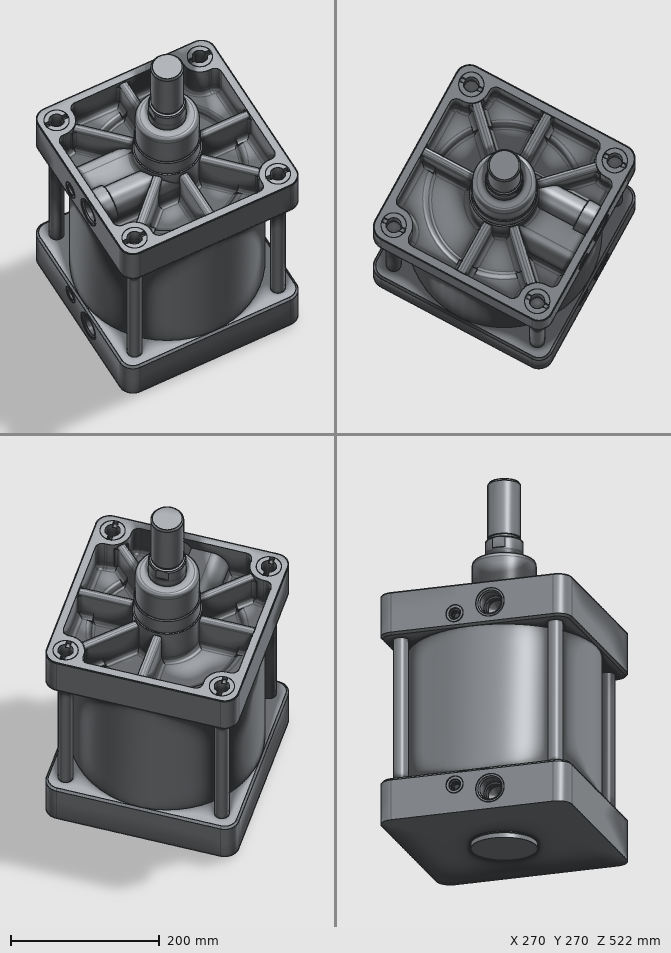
import cadquery as cq
import math

PLATE_SIDE = 270.0
PLATE_HEIGHT = 60.0
PLATE_CORNER_RADIUS = 20.0
PLATE_CHAMFER = 3.0
RIM_CHAMFER = 1.0

COLLAR_DIAMETER = 90.0
FLANGE_DIAMETER = 94.0
FLANGE_HEIGHT = 1.5
CAP_COLLAR_HEIGHT = 8.5
HEAD_COLLAR_HEIGHT = 27.0
COLLAR_CHAMFER = 1.5

BARREL_DIAMETER = 263.0
BARREL_LENGTH = 205.0

GLAND_DIAMETER = 86.0
GLAND_HEIGHT = 49.0
GLAND_ROUNDING = 6.5

OVERALL_HEIGHT = 522.0
ROD_DIAMETER = 51.0
WRENCH_DIAMETER = 50.5
WRENCH_BOTTOM_Z = 420.5
WRENCH_CHAMFER = 1.0
ROD_SHOULDER_Z = 438.5
SHOULDER_CHAMFER = 1.5
NECK_DIAMETER = 40.0
NECK_LENGTH = 4.5
STUD_DIAMETER = 44.5
STUD_CHAMFER = 3.0
STUD_CHAMFER_WIDTH = 2.0
FLATS_WIDTH = 47.5
FLATS_BOTTOM_Z = 423.0

TIE_OFFSET = 109.5
TIE_DIAMETER = 20.5
NUT_DIAMETER = 34.0
NUT_HEIGHT = 31.5
NUT_BORE_DEPTH = 26.0
NUT_SLOT_WIDTH = 6.5
NUT_SLOT_DEPTH = 6.5

RECESS_SIDE = 246.5
RECESS_CORNER_RADIUS = 10.0
RECESS_FLOOR_RADIUS = 8.5
FLOOR_THICKNESS = 13.5
CORNER_BOSS_RADIUS = 25.5
DISH_OUTER_RADIUS = 109.5
DISH_EDGE_RADIUS = 102.0
DISH_INNER_RADIUS = 97.5
DISH_DEPTH = 7.0
FOOT_RADIUS = 7.5
RIB_WIDTH = 12.5
RIB_DROP = 3.5
RIB_ROUNDING = 4.0
RIB_END_RADIUS = 4.0
RIB_ANGLES = (0, 45, 90, 180, 225, 315)

PORT_X = 25.0
PORT_FROM_BARREL = 30.5
PORT_SPOTFACE_DIAMETER = 40.0
PORT_SPOTFACE_DEPTH = 1.0
PORT_COUNTERSINK_DIAMETER = 34.5
PORT_THREAD_DIAMETER = 30.5
PORT_THREAD_DEPTH = 21.0
PORT_BORE_DIAMETER = 25.0
PORT_BORE_DEPTH = 31.5
DRILL_TIP_ANGLE = 118.0
SCREW_X = -25.0
SCREW_FROM_BARREL = 20.0
SCREW_STEPS = ((24.0, 1.0), (16.0, 4.0), (12.0, 7.5), (9.0, 12.5))

PORT_HOUSING_RADIUS = 23.0
PORT_HOUSING_COLLAR_RADIUS = 26.0
PORT_HOUSING_COLLAR_LENGTH = 20.0
SCREW_HOUSING_RADIUS = 24.5
HOUSING_FOOT_RADIUS = 4.5

CAP_BOTTOM = CAP_COLLAR_HEIGHT
CAP_TOP = CAP_BOTTOM + PLATE_HEIGHT
HEAD_BOTTOM = CAP_TOP + BARREL_LENGTH
HEAD_TOP = HEAD_BOTTOM + PLATE_HEIGHT
COLLAR_TOP = HEAD_TOP + HEAD_COLLAR_HEIGHT
FLOOR_Z = HEAD_BOTTOM + FLOOR_THICKNESS
DISH_Z = FLOOR_Z - DISH_DEPTH
RIB_TOP = HEAD_TOP - RIB_DROP
FRONT_Y = -PLATE_SIDE / 2
HEAD_PORT_Z = HEAD_BOTTOM + PORT_FROM_BARREL
HEAD_SCREW_Z = HEAD_BOTTOM + SCREW_FROM_BARREL
CAP_PORT_Z = CAP_TOP - PORT_FROM_BARREL
CAP_SCREW_Z = CAP_TOP - SCREW_FROM_BARREL
HOUSING_TOP = HEAD_SCREW_Z + SCREW_HOUSING_RADIUS
CORNERS = [(-1, -1), (-1, 1), (1, -1), (1, 1)]
TIE_CENTRES = [(sx * TIE_OFFSET, sy * TIE_OFFSET) for sx, sy in CORNERS]
SIN_45 = math.sin(math.radians(45))


def cylinder(diameter, bottom, top):
    return cq.Workplane("XY").workplane(offset=bottom).circle(diameter / 2).extrude(top - bottom)


def end_plate(bottom):
    """Square plate with rounded corners."""
    plate = cq.Workplane("XY").workplane(offset=bottom).rect(PLATE_SIDE, PLATE_SIDE).extrude(PLATE_HEIGHT)
    return plate.edges("|Z").fillet(PLATE_CORNER_RADIUS)


def front_bore(x, z, profile):
    """Round cutter entering the -Y face; profile lists (radius, depth) from the axis and back to it."""
    bore = cq.Workplane("XY").polyline(profile).close().revolve(360, (0, 0, 0), (0, 1, 0))
    return bore.translate((x, FRONT_Y, z))


def port_cutter(z):
    spotface = PORT_SPOTFACE_DIAMETER / 2
    countersink = PORT_COUNTERSINK_DIAMETER / 2
    thread = PORT_THREAD_DIAMETER / 2
    bore = PORT_BORE_DIAMETER / 2
    tip = bore / math.tan(math.radians(DRILL_TIP_ANGLE / 2))
    profile = [
        (0, 0),
        (spotface, 0),
        (spotface, PORT_SPOTFACE_DEPTH),
        (countersink, PORT_SPOTFACE_DEPTH),
        (thread, PORT_SPOTFACE_DEPTH + countersink - thread),
        (thread, PORT_THREAD_DEPTH),
        (bore, PORT_THREAD_DEPTH),
        (bore, PORT_BORE_DEPTH),
        (0, PORT_BORE_DEPTH + tip),
    ]
    return front_bore(PORT_X, z, profile)


def screw_cutter(z):
    """Stepped recess showing the sunk end of the cushion screw."""
    profile = [(0, 0)]
    start = 0
    for diameter, depth in SCREW_STEPS:
        profile += [(diameter / 2, start), (diameter / 2, depth)]
        start = depth
    profile.append((0, start))
    return front_bore(SCREW_X, z, profile)


def tie_rod(x, y):
    """Rod from the cap to a nut that lies flush with the head's top; the nut has a bore and a slot."""
    nut_bottom = HEAD_TOP - NUT_HEIGHT
    rod = cylinder(TIE_DIAMETER, CAP_TOP, nut_bottom)
    nut = cylinder(NUT_DIAMETER, nut_bottom, HEAD_TOP)
    bore = cylinder(TIE_DIAMETER, HEAD_TOP - NUT_BORE_DEPTH, HEAD_TOP)
    slot = cq.Workplane("XY").workplane(offset=HEAD_TOP).rect(NUT_SLOT_WIDTH, NUT_DIAMETER)
    nut = nut.cut(bore).cut(slot.extrude(-NUT_SLOT_DEPTH))
    return rod.union(nut).translate((x, y, 0))


def make_cap():
    cap = end_plate(CAP_BOTTOM).faces(">Z").edges().chamfer(PLATE_CHAMFER)
    cap = cap.union(cylinder(FLANGE_DIAMETER, CAP_BOTTOM - FLANGE_HEIGHT, CAP_BOTTOM))
    cap = cap.union(cylinder(COLLAR_DIAMETER, 0, CAP_BOTTOM))
    cap = cap.cut(port_cutter(CAP_PORT_Z)).cut(screw_cutter(CAP_SCREW_Z))
    for x, y in TIE_CENTRES:
        cap = cap.union(tie_rod(x, y))
    return cap


def recess_prism():
    """Square recess with a quarter-round boss left standing in each corner."""
    recess = cq.Workplane("XY").workplane(offset=FLOOR_Z).rect(RECESS_SIDE, RECESS_SIDE)
    recess = recess.extrude(HEAD_TOP - FLOOR_Z)
    plate_edge = PLATE_SIDE / 2
    boss_reach = plate_edge - TIE_OFFSET + CORNER_BOSS_RADIUS
    boss = cq.Workplane("XY").workplane(offset=HEAD_BOTTOM).rect(2 * boss_reach, 2 * boss_reach)
    boss = boss.extrude(PLATE_HEIGHT).edges("|Z").fillet(CORNER_BOSS_RADIUS)
    for sx, sy in CORNERS:
        recess = recess.cut(boss.translate((sx * plate_edge, sy * plate_edge, 0)))
    wall = RECESS_SIDE / 2
    boss_start = plate_edge - boss_reach
    middle_z = (FLOOR_Z + HEAD_TOP) / 2
    for sx, sy in CORNERS:
        for x, y in ((boss_start, wall), (wall, boss_start)):
            corner = cq.selectors.NearestToPointSelector((sx * x, sy * y, middle_z))
            recess = recess.edges("|Z").edges(corner).fillet(RECESS_CORNER_RADIUS)
    return recess


def sector(corners):
    """Prism through the whole head over a plan outline."""
    return cq.Workplane("XY").workplane(offset=HEAD_BOTTOM).polyline(corners).close().extrude(PLATE_HEIGHT)


def front_sector():
    """Quarter of the head between the two diagonals on the -Y side, where the floor is not dished."""
    return sector([(0, 0), (FRONT_Y, FRONT_Y), (-FRONT_Y, FRONT_Y)])


def dish():
    """Shallow round depression in the recess floor, with an S-shaped edge of two tangent arcs."""
    rise = DISH_DEPTH * (DISH_EDGE_RADIUS - DISH_INNER_RADIUS) / (DISH_OUTER_RADIUS - DISH_INNER_RADIUS)
    profile = (
        cq.Workplane("XZ")
        .moveTo(0, DISH_Z)
        .lineTo(DISH_INNER_RADIUS, DISH_Z)
        .tangentArcPoint((DISH_EDGE_RADIUS, DISH_Z + rise), relative=False)
        .tangentArcPoint((DISH_OUTER_RADIUS, FLOOR_Z), relative=False)
        .lineTo(0, FLOOR_Z)
        .close()
    )
    return profile.revolve(360, (0, 0, 0), (0, 1, 0)).cut(front_sector())


def foot(plane, left, right, floor, length):
    """Wall from the floor up to the foot's top, flaring out to both sides at the floor."""
    bend = FOOT_RADIUS * (1 - SIN_45)
    section = (
        cq.Workplane(plane)
        .moveTo(left - FOOT_RADIUS, HEAD_BOTTOM)
        .lineTo(left - FOOT_RADIUS, floor)
        .threePointArc((left - bend, floor + bend), (left, floor + FOOT_RADIUS))
        .lineTo(right, floor + FOOT_RADIUS)
        .threePointArc((right + bend, floor + bend), (right + FOOT_RADIUS, floor))
        .lineTo(right + FOOT_RADIUS, HEAD_BOTTOM)
        .close()
    )
    return section.extrude(length)


def stepped_foot(plane, left, right, length, angle=0):
    """Foot, turned about Z, that follows the floor: low inside the dish, higher outside it."""
    dished = cylinder(2 * DISH_EDGE_RADIUS, HEAD_BOTTOM, HEAD_TOP).cut(front_sector())
    inside = foot(plane, left, right, DISH_Z, length).rotate((0, 0, 0), (0, 0, 1), angle)
    outside = foot(plane, left, right, FLOOR_Z, length).rotate((0, 0, 0), (0, 0, 1), angle)
    return inside.union(outside.cut(dished))


def rib(angle):
    """Radial rib with a rounded top, a flared foot and a flared end at the recess wall."""
    half = RIB_WIDTH / 2
    reach = RECESS_SIDE / 2
    if angle % 90:
        reach = TIE_OFFSET / SIN_45 - CORNER_BOSS_RADIUS
    length = reach + RIB_END_RADIUS
    start = reach - RIB_END_RADIUS
    bend = RIB_END_RADIUS * (1 - SIN_45)
    web = cq.Workplane("XY").box(length, RIB_WIDTH, RIB_TOP - HEAD_BOTTOM, centered=(False, True, False))
    web = web.faces(">Z").edges("|X").fillet(RIB_ROUNDING).translate((0, 0, HEAD_BOTTOM))
    end = (
        cq.Workplane("XY")
        .workplane(offset=HEAD_BOTTOM)
        .moveTo(start, -half)
        .threePointArc((reach - bend, -half - bend), (reach, -half - RIB_END_RADIUS))
        .lineTo(length, -half - RIB_END_RADIUS)
        .lineTo(length, half + RIB_END_RADIUS)
        .lineTo(reach, half + RIB_END_RADIUS)
        .threePointArc((reach - bend, half + bend), (start, half))
        .close()
        .extrude(RIB_TOP - RIB_ROUNDING - HEAD_BOTTOM)
    )
    body = web.union(end).rotate((0, 0, 0), (0, 0, 1), angle)
    return body.union(stepped_foot("YZ", -half, half, length, angle))


def collar_foot(radius, bottom):
    """Solid disc whose side flares out from the collar's flange diameter towards the bottom."""
    flange = FLANGE_DIAMETER / 2
    bend = radius * (1 - SIN_45)
    profile = (
        cq.Workplane("XZ")
        .moveTo(0, bottom)
        .lineTo(flange + radius, bottom)
        .threePointArc((flange + bend, bottom + bend), (flange, bottom + radius))
        .lineTo(0, bottom + radius)
        .close()
    )
    return profile.revolve(360, (0, 0, 0), (0, 1, 0))


def collar():
    """Round boss through the recess with a flared foot, a flange step and a chamfered top."""
    spigot = cylinder(COLLAR_DIAMETER, HEAD_BOTTOM, COLLAR_TOP).faces(">Z").edges().chamfer(COLLAR_CHAMFER)
    boss = cylinder(FLANGE_DIAMETER, HEAD_BOTTOM, HEAD_TOP + FLANGE_HEIGHT)
    return spigot.union(boss).union(collar_foot(FOOT_RADIUS, DISH_Z))


def port_housing():
    """Raised block from the collar to the -Y wall, rounded over the screw and over the port."""
    left = SCREW_X - SCREW_HOUSING_RADIUS
    right = PORT_X + PORT_HOUSING_RADIUS
    length = -FRONT_Y
    arc = SCREW_HOUSING_RADIUS * SIN_45
    block = (
        cq.Workplane("XZ")
        .moveTo(left, HEAD_BOTTOM)
        .lineTo(left, HEAD_SCREW_Z)
        .threePointArc((SCREW_X - arc, HEAD_SCREW_Z + arc), (SCREW_X, HOUSING_TOP))
        .lineTo(PORT_X, HOUSING_TOP)
        .lineTo(PORT_X, HEAD_PORT_Z)
        .lineTo(right, HEAD_PORT_Z)
        .lineTo(right, HEAD_BOTTOM)
        .close()
        .extrude(length)
    )
    tube = cq.Workplane("XZ").center(PORT_X, HEAD_PORT_Z).circle(PORT_HOUSING_RADIUS).extrude(length)
    end_collar = (
        cq.Workplane("XZ", origin=(0, -RECESS_SIDE / 2, 0))
        .center(PORT_X, HEAD_PORT_Z)
        .circle(PORT_HOUSING_COLLAR_RADIUS)
        .extrude(-PORT_HOUSING_COLLAR_LENGTH)
    )
    housing = block.union(tube).union(end_collar).union(stepped_foot("XZ", left, right, length))
    beyond_rib = sector([(0, 0), (-length, -length), (-length, 0)])
    flat = cq.Workplane("XY").workplane(offset=HOUSING_TOP).center((SCREW_X + PORT_X) / 2, -length / 2)
    flat = flat.rect(PORT_X - SCREW_X, length).extrude(HOUSING_FOOT_RADIUS)
    top_fillet = collar_foot(HOUSING_FOOT_RADIUS, HOUSING_TOP).intersect(flat)
    return housing.cut(beyond_rib).union(top_fillet)


def make_head():
    plate = end_plate(HEAD_BOTTOM)
    plate = plate.faces("<Z").edges().chamfer(PLATE_CHAMFER)
    plate = plate.faces(">Z").edges().chamfer(RIM_CHAMFER)
    recess = recess_prism()
    cavity = recess.faces("<Z").edges().fillet(RECESS_FLOOR_RADIUS).union(dish())
    inside = port_housing()
    for angle in RIB_ANGLES:
        inside = inside.union(rib(angle))
    head = plate.cut(cavity).union(inside.intersect(recess.union(dish()))).union(collar())
    for x, y in TIE_CENTRES:
        head = head.cut(cylinder(TIE_DIAMETER, HEAD_BOTTOM, HEAD_TOP).translate((x, y, 0)))
        head = head.cut(cylinder(NUT_DIAMETER, HEAD_TOP - NUT_HEIGHT, HEAD_TOP).translate((x, y, 0)))
    head = head.cut(cylinder(ROD_DIAMETER, HEAD_BOTTOM, COLLAR_TOP))
    return head.cut(port_cutter(HEAD_PORT_Z)).cut(screw_cutter(HEAD_SCREW_Z))


def make_barrel():
    return cylinder(BARREL_DIAMETER, CAP_TOP, HEAD_BOTTOM)


def make_gland():
    """Bearing sleeve that stands on the head's collar."""
    gland = cylinder(GLAND_DIAMETER, COLLAR_TOP, COLLAR_TOP + GLAND_HEIGHT)
    gland = gland.faces(">Z").edges().fillet(GLAND_ROUNDING)
    return gland.cut(cylinder(ROD_DIAMETER, COLLAR_TOP, COLLAR_TOP + GLAND_HEIGHT))


def make_rod():
    """Rod with a slightly reduced section for two wrench flats, an undercut neck and a stud end."""
    rod_radius = ROD_DIAMETER / 2
    wrench_radius = WRENCH_DIAMETER / 2
    stud_radius = STUD_DIAMETER / 2
    profile = [
        (0, HEAD_BOTTOM),
        (rod_radius, HEAD_BOTTOM),
        (rod_radius, WRENCH_BOTTOM_Z - WRENCH_CHAMFER),
        (wrench_radius, WRENCH_BOTTOM_Z),
        (wrench_radius, ROD_SHOULDER_Z - SHOULDER_CHAMFER),
        (wrench_radius - SHOULDER_CHAMFER, ROD_SHOULDER_Z),
        (NECK_DIAMETER / 2, ROD_SHOULDER_Z),
        (NECK_DIAMETER / 2, ROD_SHOULDER_Z + NECK_LENGTH),
        (stud_radius, ROD_SHOULDER_Z + NECK_LENGTH),
        (stud_radius, OVERALL_HEIGHT - STUD_CHAMFER),
        (stud_radius - STUD_CHAMFER_WIDTH, OVERALL_HEIGHT),
        (0, OVERALL_HEIGHT),
    ]
    rod = cq.Workplane("XZ").polyline(profile).close().revolve(360, (0, 0, 0), (0, 1, 0))
    flats_length = ROD_SHOULDER_Z - FLATS_BOTTOM_Z
    for side in (-1, 1):
        flat = cq.Workplane("XY").box(ROD_DIAMETER, ROD_DIAMETER, flats_length, centered=(True, True, False))
        rod = rod.cut(flat.translate((0, side * (FLATS_WIDTH + ROD_DIAMETER) / 2, FLATS_BOTTOM_Z)))
    return rod


cap = make_cap()
barrel = make_barrel()
head = make_head()
gland = make_gland()
rod = make_rod()

result = cq.Compound.makeCompound([cap.val(), barrel.val(), head.val(), gland.val(), rod.val()])